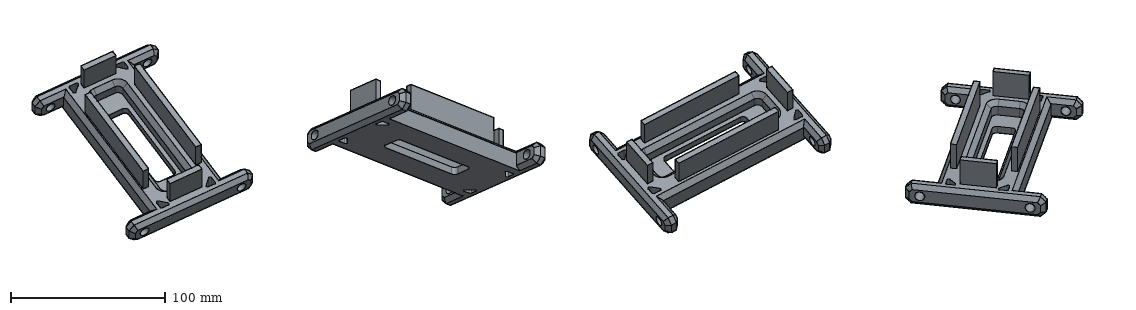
import cadquery as cq

length = 130.0
width = 93.0
height = 33.5
base_height = 15.1

rail_width = 9.9
rail_end_cut = 3.8
rail_chamfer = 3.0
hole_diameter = 6.5
hole_spacing = 72.9

deck_width = 53.3
deck_chamfer = 3.4
deck_length = length - rail_width

inset_y = -0.5
pocket_length = 91.8
pocket_width = 21.6
pocket_radius = 3.8
pocket_depth = 10.0
pocket_chamfer = 3.4
window_length = 64.4
window_width = 15.3
window_radius = 3.0

opening_leg = 8.0
opening_radius = 1.0
opening_corner_x = 58.9
opening_corner_y = 20.7

wall_height = height - base_height
wall_thickness = 4.2
long_wall_right = 39.1
back_wall_left = -39.1
front_wall_left = -34.8
long_wall_offset = 19.8
end_wall_width = 24.0
end_wall_offset = 54.9
end_wall_y = -0.6


def box(size_x, size_y, size_z, center_x, center_y, bottom):
    """Box centred on (center_x, center_y) and standing on the level bottom."""
    return (
        cq.Workplane("XY", origin=(center_x, center_y, bottom))
        .box(size_x, size_y, size_z, centered=(True, True, False))
    )


def rail(side):
    """Rail along Y: an elongated octagon, chamfered around both of its side faces."""
    body = box(rail_width, width, base_height, side * (length - rail_width) / 2, 0, 0)
    body = body.faces("<Y or >Y").edges("|X").chamfer(rail_end_cut)
    return body.faces("<X or >X").edges().chamfer(rail_chamfer)


def deck():
    """Plate joining the rails, with its long top edges chamfered."""
    body = box(deck_length, deck_width, base_height, 0, 0, 0)
    return body.faces(">Z").edges("|X").chamfer(deck_chamfer)


def rounded_block(size_x, size_y, size_z, radius, bottom):
    """Block with rounded vertical edges on the pocket centre."""
    return box(size_x, size_y, size_z, 0, inset_y, bottom).edges("|Z").fillet(radius)


def pocket_mouth():
    """Mouth flaring at 45 degrees from the pocket outline up to the top face."""
    outline = cq.Sketch().rect(pocket_length, pocket_width).vertices().fillet(pocket_radius)
    return (
        cq.Workplane("XY", origin=(0, inset_y, base_height - pocket_chamfer))
        .placeSketch(outline)
        .extrude(pocket_chamfer, taper=-45)
    )


def corner_opening(side_x, side_y):
    """Through opening whose right angle points to the given corner of the frame."""
    outer_x = side_x * opening_corner_x
    outer_y = side_y * opening_corner_y
    inner_x = side_x * (opening_corner_x - opening_leg)
    inner_y = side_y * (opening_corner_y - opening_leg)
    outline = [(outer_x, outer_y), (inner_x, outer_y), (outer_x, inner_y)]
    triangle = cq.Workplane("XY").polyline(outline).close().extrude(base_height)
    return triangle.edges("|Z").fillet(opening_radius)


def long_wall(left, center_y):
    """Upright wall along X from left to the common right end, standing on the deck."""
    center_x = (left + long_wall_right) / 2
    return box(long_wall_right - left, wall_thickness, wall_height, center_x, center_y, base_height)


def end_wall(side):
    """Upright wall along Y beside one of the rails, standing on the deck."""
    center_x = side * end_wall_offset
    return box(wall_thickness, end_wall_width, wall_height, center_x, end_wall_y, base_height)


def rail_holes():
    """Bores along X through both rails, outside the deck."""
    return (
        cq.Workplane("YZ", origin=(-length / 2, 0, base_height / 2))
        .pushPoints([(-hole_spacing / 2, 0), (hole_spacing / 2, 0)])
        .circle(hole_diameter / 2)
        .extrude(length)
    )


frame = deck()
for side in (-1, 1):
    frame = frame.union(rail(side))
frame = frame.cut(rail_holes())

pocket_floor = base_height - pocket_depth
frame = frame.cut(rounded_block(pocket_length, pocket_width, pocket_depth, pocket_radius, pocket_floor))
frame = frame.cut(pocket_mouth())
frame = frame.cut(rounded_block(window_length, window_width, base_height, window_radius, 0))

for side_x in (-1, 1):
    for side_y in (-1, 1):
        frame = frame.cut(corner_opening(side_x, side_y))

result = frame.union(long_wall(front_wall_left, inset_y - long_wall_offset))
result = result.union(long_wall(back_wall_left, inset_y + long_wall_offset))
for side in (-1, 1):
    result = result.union(end_wall(side))